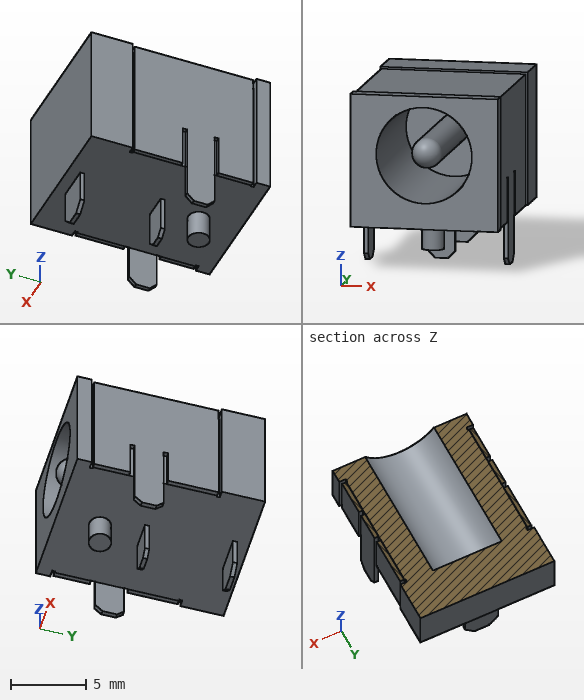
import cadquery as cq
import math


length = 13.0
width = 10.0
height = 9.0
front_flange = 1.0
rear_block_start = 10.0
core_inset = 0.5

socket_diameter = 6.5
socket_height = 5.0
socket_depth = rear_block_start
pin_diameter = 2.0

peg_diameter = 1.5
peg_length = 1.82
peg_y = 3.0

sheet = 0.3
leg_length = 3.0

rear_blade_y = 12.0
rear_blade_width = 2.47
rear_blade_chamfer = 0.69
middle_blade_y = 6.0
middle_blade_width = 1.82
middle_blade_chamfer = 0.48

shell_inset = 0.1
shell_end_gap = 0.2
shell_start = front_flange + shell_end_gap
shell_length = rear_block_start - shell_end_gap - shell_start
shell_width = width - 2 * shell_inset
shell_height = height - shell_inset
seat_inset = shell_inset + sheet
tab_y = 5.0
tab_width = 2.0
tab_chamfer = 0.5
slot_width = 0.3
slot_height = 3.0


def block(size_x, size_y, size_z, start_y):
    """Box centred on X that starts at start_y and stands on Z = 0."""
    return (
        cq.Workplane("XY")
        .box(size_x, size_y, size_z, centered=(True, False, False))
        .translate((0, start_y, 0))
    )


def leg(leg_width, chamfer):
    """Flat leg below Z = 0, wide along X, with its two lower corners cut off."""
    return (
        cq.Workplane("XY")
        .box(leg_width, sheet, leg_length)
        .translate((0, 0, -leg_length / 2))
        .edges("|Y and <Z")
        .chamfer(chamfer)
    )


def centre_pin():
    """Round pin with a hemispherical tip level with the front face, rooted in the socket floor."""
    radius = pin_diameter / 2
    arc_offset = radius * math.sqrt(0.5)
    half_profile = (
        cq.Workplane("XY")
        .moveTo(0, 0)
        .threePointArc((arc_offset, radius - arc_offset), (radius, radius))
        .lineTo(radius, socket_depth)
        .lineTo(0, socket_depth)
        .close()
    )
    return half_profile.revolve(360, (0, 0, 0), (0, 1, 0)).translate((0, 0, socket_height))


def make_housing():
    """Insulating block with its socket, centre pin, peg and two terminal blades."""
    core = block(width - 2 * core_inset, length, height - core_inset, 0)
    front = block(width, front_flange, height, 0)
    rear = block(width, length - rear_block_start, height, rear_block_start)
    shell_seat = block(width - 2 * seat_inset, shell_length, height - seat_inset, shell_start)
    body = core.union(front).union(rear).union(shell_seat)

    socket = (
        cq.Workplane("XZ")
        .center(0, socket_height)
        .circle(socket_diameter / 2)
        .extrude(-socket_depth)
    )
    peg = cq.Workplane("XY").center(0, peg_y).circle(peg_diameter / 2).extrude(-peg_length)
    rear_blade = leg(rear_blade_width, rear_blade_chamfer).translate((0, rear_blade_y, 0))
    middle_blade = leg(middle_blade_width, middle_blade_chamfer).translate((0, middle_blade_y, 0))
    body = body.cut(socket).union(centre_pin())
    return body.union(peg).union(rear_blade).union(middle_blade)


def make_shell():
    """Sheet-metal cover over the top and sides, with a slotted solder tab on each side."""
    outside = block(shell_width, shell_length, shell_height, shell_start)
    inside = block(shell_width - 2 * sheet, shell_length, shell_height - sheet, shell_start)
    shell = outside.cut(inside)

    for side in (-1, 1):
        slot_y = tab_y + side * (tab_width + slot_width) / 2
        shell = shell.cut(block(width, slot_width, slot_height, slot_y - slot_width / 2))

    tab = leg(tab_width, tab_chamfer).rotate((0, 0, 0), (0, 0, 1), 90)
    tab_x = (shell_width - sheet) / 2
    for side in (-1, 1):
        shell = shell.union(tab.translate((side * tab_x, tab_y, 0)))
    return shell


housing = make_housing()
shell = make_shell()
result = cq.Compound.makeCompound([housing.val(), shell.val()])